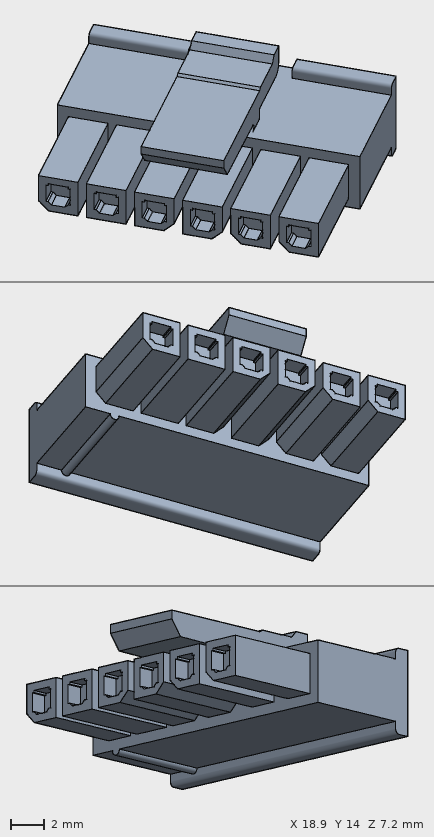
import cadquery as cq

WIDTH = 18.85
DEPTH = 14.0
HEIGHT = 7.2
MID_X = WIDTH / 2

BODY_DEPTH = 7.65
BODY_FRONT = DEPTH - BODY_DEPTH
BODY_BOTTOM = 0.75
BODY_TOP = 4.6

FLANGE_DEPTH = 1.04
FLANGE_TOP = 5.3
FLANGE_GAP = 6.48
FLANGE_RADIUS = 0.28

PLUG_PITCH = 3.0
PLUG_SIZE = 2.47
PLUG_BOTTOM = 1.41
PLUG_CHAMFER = 0.65
PLUG_KEYS = (-1, 0, 1, 1, -1, -1)
FIRST_PLUG_X = MID_X - PLUG_PITCH * (len(PLUG_KEYS) - 1) / 2

SOCKET_SIZE = 1.5
SOCKET_DEPTH = 1.04
SOCKET_NOTCH = 0.13
SOCKET_CHAMFER = 0.2

RIB_RADIUS = 0.28
RIB_BOTTOM = 0.43

LATCH_WIDTH = 5.15
LATCH_REAR = 12.45
LATCH_HEEL_RADIUS = 0.68
LATCH_REAR_UNDERSIDE = 5.35
HOOK_FRONT_TOP = 11.46
HOOK_FRONT_BOTTOM = 11.08
PAD_TOP = 6.79
PAD_FRONT = 8.6
LEVER_TOP = 6.65
LEVER_STEP_FRONT = 8.4
LEVER_FRONT = 0.87
LEVER_NOSE_BOTTOM = 6.1
LEVER_TIP_Y = 1.6
LEVER_TIP_Z = 5.15
NECK_REAR = 8.35
NECK_FRONT = 7.2
NECK_TOP_FRONT = 5.07
NECK_FILLET = 0.13


def box(x0, x1, y0, y1, z0, z1):
    return cq.Workplane("XY").box(x1 - x0, y1 - y0, z1 - z0, centered=False).translate((x0, y0, z0))


def make_body():
    return box(0, WIDTH, BODY_FRONT, DEPTH, BODY_BOTTOM, BODY_TOP)


def make_flange():
    """Rear flange with rounded front edges, open at the middle of the top."""
    flange = box(0, WIDTH, DEPTH - FLANGE_DEPTH, DEPTH, 0, FLANGE_TOP)
    flange = flange.faces("<Y").edges("|X").fillet(FLANGE_RADIUS)
    gap_left = MID_X - FLANGE_GAP / 2
    gap_right = MID_X + FLANGE_GAP / 2
    gap = box(gap_left, gap_right, DEPTH - FLANGE_DEPTH, DEPTH, BODY_TOP, FLANGE_TOP)
    return flange.cut(gap)


def make_plug(x, key):
    """Square plug centred at x, with a keying chamfer on one lower edge."""
    half = PLUG_SIZE / 2
    plug = box(x - half, x + half, 0, BODY_FRONT, PLUG_BOTTOM, PLUG_BOTTOM + PLUG_SIZE)
    if key:
        side = ">X" if key > 0 else "<X"
        plug = plug.faces(side).edges("<Z").chamfer(PLUG_CHAMFER)
    return plug.cut(make_socket(x))


def make_socket(x):
    """Blind socket with stepped corners, the lower ones sloping to the floor."""
    half = SOCKET_SIZE / 2
    inset = half - SOCKET_NOTCH
    floor_half = inset - SOCKET_CHAMFER
    ledge = -half + SOCKET_CHAMFER
    right_side = [
        (floor_half, -half),
        (inset, ledge),
        (half, ledge),
        (half, inset),
        (inset, inset),
        (inset, half),
    ]
    left_side = [(-u, v) for u, v in reversed(right_side)]
    center_z = PLUG_BOTTOM + PLUG_SIZE / 2
    return (
        cq.Workplane("XZ", origin=(x, 0, center_z))
        .polyline(right_side + left_side)
        .close()
        .extrude(-SOCKET_DEPTH)
    )


def make_rib():
    """Rib along the underside of the body with a half-round lower edge."""
    center_z = RIB_BOTTOM + RIB_RADIUS
    return (
        cq.Workplane("XZ", origin=(FIRST_PLUG_X, BODY_FRONT, 0))
        .moveTo(-RIB_RADIUS, BODY_BOTTOM)
        .lineTo(-RIB_RADIUS, center_z)
        .threePointArc((0, RIB_BOTTOM), (RIB_RADIUS, center_z))
        .lineTo(RIB_RADIUS, BODY_BOTTOM)
        .close()
        .extrude(-BODY_DEPTH)
    )


def make_latch():
    """Lever profile in the YZ plane, on a short neck standing on the body."""
    heel_z = LATCH_REAR_UNDERSIDE + LATCH_HEEL_RADIUS
    heel_y = LATCH_REAR - LATCH_HEEL_RADIUS
    groove_radius = (NECK_TOP_FRONT - BODY_TOP) / 2
    groove_y = NECK_FRONT - groove_radius
    return (
        cq.Workplane("YZ", origin=(MID_X, 0, 0))
        .moveTo(LATCH_REAR, heel_z)
        .lineTo(LATCH_REAR, HEIGHT)
        .lineTo(HOOK_FRONT_TOP, HEIGHT)
        .lineTo(HOOK_FRONT_BOTTOM, PAD_TOP)
        .lineTo(PAD_FRONT, PAD_TOP)
        .lineTo(LEVER_STEP_FRONT, LEVER_TOP)
        .lineTo(LEVER_FRONT, LEVER_TOP)
        .lineTo(LEVER_FRONT, LEVER_NOSE_BOTTOM)
        .lineTo(LEVER_TIP_Y, LEVER_TIP_Z)
        .lineTo(groove_y, NECK_TOP_FRONT)
        .threePointArc((NECK_FRONT, BODY_TOP + groove_radius), (groove_y, BODY_TOP))
        .lineTo(NECK_REAR, BODY_TOP)
        .lineTo(NECK_REAR, LATCH_REAR_UNDERSIDE - NECK_FILLET)
        .radiusArc((NECK_REAR + NECK_FILLET, LATCH_REAR_UNDERSIDE), NECK_FILLET)
        .lineTo(heel_y, LATCH_REAR_UNDERSIDE)
        .radiusArc((LATCH_REAR, heel_z), -LATCH_HEEL_RADIUS)
        .close()
        .extrude(LATCH_WIDTH / 2, both=True)
    )


result = make_body().union(make_flange()).union(make_rib()).union(make_latch())
for index, key in enumerate(PLUG_KEYS):
    result = result.union(make_plug(FIRST_PLUG_X + index * PLUG_PITCH, key))